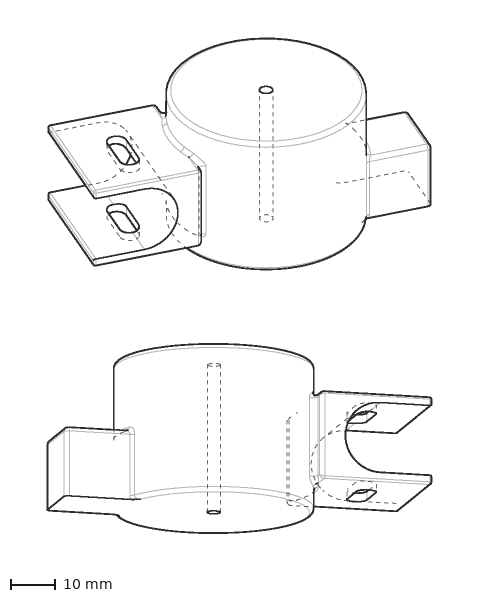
import cadquery as cq
import math

housing_radius = 45.0 / 2
housing_height = 34.0
housing_edge_radius = 1.0
axial_hole_diameter = 3.0

overall_length = 83.5
front_y = -46.75
rear_y = front_y + overall_length

block_width = 16.0
block_height = 16.0
block_edge_radius = 1.0

clamp_width = 30.0
clamp_height = 20
clamp_length = 26.0
clamp_center_z = 16.0
clamp_back_radius = 1.0
clamp_edge_radius = 0.5
arm_thickness = 2.0
mouth_radius = clamp_height / 2 - arm_thickness
mouth_center_y = -34.6

slot_length = 12.5
slot_width = 4.5
slot_center_x = 1.0

junction_radius = 1.0
position_tolerance = 0.001


def make_housing():
    housing = cq.Workplane("XY").circle(housing_radius).extrude(housing_height)
    return housing.faces("|Z").edges().fillet(housing_edge_radius)


def make_rear_block():
    """Block from the housing axis to the rear end, rounded except along its base."""
    block = cq.Workplane("XY").box(block_width, rear_y, block_height, centered=(True, False, False))
    block = block.edges("|Z and >Y").fillet(block_edge_radius)
    return block.faces(">Z").edges("not <Y").fillet(block_edge_radius)


def make_mouth():
    """Round-ended opening between the arms, running along X."""
    profile = cq.Workplane("YZ").center(mouth_center_y, clamp_center_z)
    bore = profile.circle(mouth_radius).extrude(clamp_width / 2, both=True)
    depth = mouth_center_y - front_y
    gap = cq.Workplane("XY").box(clamp_width, depth, 2 * mouth_radius)
    return bore.union(gap.translate((0, front_y + depth / 2, clamp_center_z)))


def make_clamp():
    center = (0, front_y + clamp_length / 2, clamp_center_z)
    clamp = cq.Workplane("XY").box(clamp_width, clamp_length, clamp_height).translate(center)
    clamp = clamp.faces(">Y").edges().fillet(clamp_back_radius)
    clamp = clamp.cut(make_mouth())
    long_edges = clamp.faces("<Z or >Z").edges("|Y")
    tip_edges = clamp.faces("<Y").edges()
    return long_edges.add(tip_edges).fillet(clamp_edge_radius)


def make_bolt_slot():
    slot = cq.Workplane("XY").center(slot_center_x, mouth_center_y)
    return slot.slot2D(slot_length, slot_width).extrude(housing_height)


def make_axial_hole():
    return cq.Workplane("XY").circle(axial_hole_diameter / 2).extrude(housing_height)


def is_junction(edge):
    """True for an edge on the housing wall, other than its rim circles and its seam."""
    start, middle, end = [edge.positionAt(t) for t in (0, 0.5, 1)]
    on_wall = all(
        abs(math.hypot(point.x, point.y) - housing_radius) < position_tolerance
        for point in (start, middle, end)
    )
    margin = housing_edge_radius + position_tolerance
    between_rims = margin < middle.z < housing_height - margin
    on_seam = abs(middle.y) < position_tolerance
    return on_wall and between_rims and not on_seam


def round_junctions(body):
    return body.newObject([edge for edge in body.edges().vals() if is_junction(edge)]).fillet(junction_radius)


body = make_housing().union(make_rear_block()).union(make_clamp())
body = round_junctions(body)
result = body.cut(make_bolt_slot()).cut(make_axial_hole())